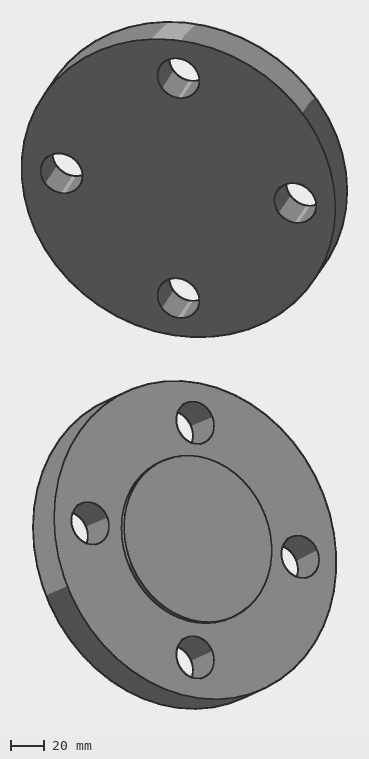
import cadquery as cq

flange_diameter = 195.0
flange_thickness = 25.0
raised_face_diameter = 102.0
raised_face_height = 3.1
bolt_circle_diameter = 145.0
bolt_hole_diameter = 26.0
bolt_count = 4

total_thickness = flange_thickness + raised_face_height


def disc(diameter, thickness):
    """Disc standing in the XZ plane, from Y = 0 toward +Y."""
    return cq.Workplane("XZ").circle(diameter / 2).extrude(-thickness)


body = disc(flange_diameter, flange_thickness).union(disc(raised_face_diameter, total_thickness))

bolt_holes = (
    cq.Workplane("XZ")
    .polarArray(bolt_circle_diameter / 2, 0, 360, bolt_count)
    .circle(bolt_hole_diameter / 2)
    .extrude(-flange_thickness)
)

result = body.cut(bolt_holes)